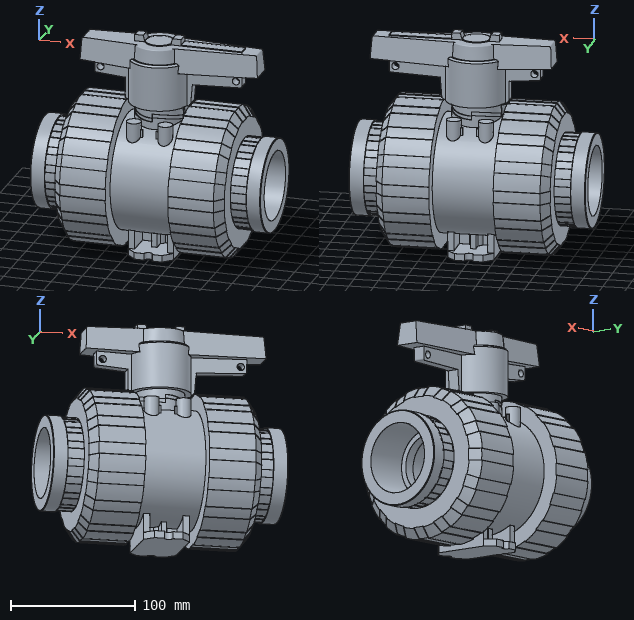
import cadquery as cq


bore_radius = 24.0
socket_radius = 28.5
socket_depth = 37.6
half_length = 97.0

body_radius = 48.9
body_half_length = 50.5

slot_clearance = 2.0

nut_inner_x = 26.4
nut_outer_x = 71.4
nut_wall_x = 64.6
nut_radius = 62.3
nut_chamfer_length = 6.5
nut_face_radius = 54.0
nut_groove_count = 16
nut_groove_width = 9.7
nut_groove_depth = 0.8

collar_inner_x = 85.0
collar_radius = 38.8
collar_edge_chamfer = 0.5
tail_radius = 37.8
tail_groove_count = 16
tail_groove_width = 6.2
tail_groove_depth = 0.8

neck_radius = 20.2
groove_radius = 19.8
cam_gap = 3.1
cam_low_z = 54.0
cam_high_z = 57.6
cam_rise = 5.5
stem_radius = 11.6
stem_bottom_z = 35.0
stem_top_z = 93.1

peg_x = 13.2
peg_y = 27.0
peg_radius = 6.0
peg_top_z = 52.4
peg_root_z = 35.0
nib_width = 2.7
nib_reach = 7.5
nib_top_z = 46.2

foot_bottom_z = -64.5
foot_thickness = 5.8
foot_root_z = -35.0
foot_half_x = 19.0
foot_half_y = 31.2
foot_corner = 7.4
foot_notch_radius = 3.5
leg_width = 5.2
leg_half_y = 23.5
foot_boss_radius = 6.0
foot_rib_width = 4.5
foot_rib_half_y = 14.5

hub_radius = 25.2
hub_bottom_z = 62.3
hub_shoulder_z = 100.9
hub_chamfer = 1.5
crown_base_radius = 22.3
crown_top_radius = 21.0
crown_fillet = 1.2
handle_top_z = 113.0

grip_left_x = -63.6
grip_right_x = 85.5
grip_waist_x = 11.6
grip_end_bottom_z = 94.3
grip_waist_bottom_z = 92.5
grip_left_draft = 1.0
grip_right_draft = 1.4
grip_edge_fillet = 1.5
grip_side_draft = 2.5
grip_left_half_width = 12.0
grip_waist_half_width = 16.0
grip_right_half_width = 10.7

web_thickness = 10.3
web_left_x = -53.4
web_right_x = 70.8
web_end_z = 82.5
web_root_z = 80.5
web_top_z = 97.0
web_hub_left_x = -27.5
web_hub_right_x = 29.1
web_hub_taper = 1.5
web_corner_fillet = 1.5
web_hole_z = 87.7
web_hole_radius = 3.0
web_hole_inset = 5.0

insert_radius = 11.6
insert_raise = 0.8
insert_depth = 2.3
strip_width = web_thickness
prong_top_z = 118.3
prong_outer_x = 19.5
prong_top_inner_x = 12.5
prong_base_inner_x = 10.9
left_prong_width = 9.7


def cylinder_x(radius, x_start, x_end):
    """Cylinder along the flow axis."""
    return cq.Workplane("YZ", origin=(x_start, 0, 0)).circle(radius).extrude(x_end - x_start)


def cylinder_z(radius, z_start, z_end):
    """Cylinder along the stem axis."""
    return cq.Workplane("XY").workplane(offset=z_start).circle(radius).extrude(z_end - z_start)


def block(x_range, y_range, z_range):
    """Box given by its limits along each axis."""
    ranges = (x_range, y_range, z_range)
    sizes = [max(limits) - min(limits) for limits in ranges]
    return cq.Workplane("XY").box(*sizes, centered=False).translate([min(limits) for limits in ranges])


def plate_xz(outline, thickness):
    """Plate centred on the XZ plane with a polygonal outline."""
    return cq.Workplane("XZ").polyline(outline).close().extrude(thickness / 2, both=True)


def radial_slots(count, first_angle, width, x_range, outer_radius):
    """Ring of straight-sided slots running along the flow axis."""
    slot = block(x_range, (0, outer_radius), (-width / 2, width / 2))
    slots = cq.Workplane("XY")
    for index in range(count):
        angle = first_angle + index * 360 / count
        slots = slots.add(slot.rotate((0, 0, 0), (1, 0, 0), angle))
    return slots.combine()


def cam_quadrant(x_side, y_side, z_at_y_axis, z_at_x_axis):
    """Solid in one quadrant below a sloping face, level along X."""
    outline = [
        (0, 0),
        (0, z_at_x_axis),
        (y_side * neck_radius, z_at_y_axis),
        (y_side * neck_radius, 0),
    ]
    return cq.Workplane("YZ").polyline(outline).close().extrude(x_side * neck_radius)


def below_cam(radius, drop):
    """Neck cylinder topped by four ramps, the same again after half a turn."""
    low = cam_low_z - drop
    high = cam_high_z - drop
    neck = cq.Workplane("XY")
    for side in (1, -1):
        neck = neck.add(cam_quadrant(-side, -side, low, low + cam_rise))
        neck = neck.add(cam_quadrant(side, -side, high, high - cam_rise))
    return neck.combine().intersect(cylinder_z(radius, 0, hub_bottom_z))


def make_pegs():
    """Four pegs beside the neck, each with two small side nibs."""
    pegs = cq.Workplane("XY")
    for x_side in (1, -1):
        for y_side in (1, -1):
            peg = cylinder_z(peg_radius, peg_root_z, peg_top_z)
            peg = peg.translate((x_side * peg_x, y_side * peg_y, 0))
            inward_nib = block(
                (x_side * (peg_x - nib_reach), x_side * peg_x),
                (y_side * peg_y, y_side * (peg_y + nib_width / 2)),
                (peg_root_z, nib_top_z),
            )
            neck_nib = block(
                (x_side * peg_x, x_side * (peg_x + nib_width)),
                (y_side * (peg_y - nib_reach), y_side * peg_y),
                (peg_root_z, nib_top_z),
            )
            pegs = pegs.add(peg).add(inward_nib).add(neck_nib)
    return pegs.combine()


def make_foot():
    """Octagonal foot plate with end notches, legs, web, boss and rib up to the body."""
    plate_top_z = foot_bottom_z + foot_thickness
    plate = block(
        (-foot_half_x, foot_half_x), (-foot_half_y, foot_half_y), (foot_bottom_z, plate_top_z)
    )
    plate = plate.edges("|Z").chamfer(foot_corner)
    for side in (1, -1):
        notch = cylinder_z(foot_notch_radius, foot_bottom_z, plate_top_z)
        plate = plate.cut(notch.translate((0, side * foot_half_y, 0)))

    rise = (plate_top_z, foot_root_z)
    half_rib = foot_rib_width / 2
    foot = plate.union(cylinder_z(foot_boss_radius, *rise))
    foot = foot.union(block((-foot_half_x, foot_half_x), (-half_rib, half_rib), rise))
    foot = foot.union(block((-half_rib, half_rib), (-foot_rib_half_y, foot_rib_half_y), rise))
    for side in (1, -1):
        leg_x = (side * (foot_half_x - leg_width), side * foot_half_x)
        foot = foot.union(block(leg_x, (-leg_half_y, leg_half_y), rise))
    return foot


def make_body():
    """Valve body with neck, pegs, foot, flow bore and stem hole."""
    body = cylinder_x(body_radius, -body_half_length, body_half_length)
    body = body.union(below_cam(neck_radius, cam_gap))
    body = body.union(below_cam(groove_radius, 0))
    body = body.union(make_pegs()).union(make_foot())
    body = body.cut(cylinder_x(bore_radius, -body_half_length, body_half_length))
    return body.cut(cylinder_z(stem_radius, stem_bottom_z, hub_bottom_z))


def make_stem():
    """Stem with a cam-edged collar between the neck and the handle."""
    collar = cylinder_z(neck_radius, 0, hub_bottom_z).cut(below_cam(neck_radius, 0))
    return collar.union(cylinder_z(stem_radius, stem_bottom_z, stem_top_z))


def nut_blank(inset):
    """Chamfered outer shape of the nut, shrunk by an inset."""
    outline = [
        (nut_inner_x, 0),
        (nut_inner_x, nut_radius - inset),
        (nut_outer_x - nut_chamfer_length, nut_radius - inset),
        (nut_outer_x, nut_face_radius - inset),
        (nut_outer_x, 0),
    ]
    return cq.Workplane("XY").polyline(outline).close().revolve(360, (0, 0, 0), (1, 0, 0))


def make_nut(side):
    """Grooved union nut on the given side of the body."""
    slots = radial_slots(
        nut_groove_count, 0, nut_groove_width, (nut_inner_x, nut_outer_x), nut_radius + slot_clearance
    )
    nut = nut_blank(0).cut(slots).union(nut_blank(nut_groove_depth))
    nut = nut.cut(cylinder_x(body_radius, nut_inner_x, nut_wall_x))
    nut = nut.cut(cylinder_x(tail_radius, nut_wall_x, nut_outer_x))
    return nut if side > 0 else nut.rotate((0, 0, 0), (0, 0, 1), 180)


def make_connector(side):
    """Flanged end connector with a fluted tail, an end collar and a socket."""
    collar = cylinder_x(collar_radius, collar_inner_x, half_length)
    collar = collar.faces(">X").edges().chamfer(collar_edge_chamfer)

    flutes_x = (nut_outer_x, collar_inner_x)
    slots = radial_slots(
        tail_groove_count,
        180 / tail_groove_count,
        tail_groove_width,
        flutes_x,
        tail_radius + slot_clearance,
    )
    tail = cylinder_x(tail_radius, body_half_length, collar_inner_x).cut(slots)
    tail = tail.union(cylinder_x(tail_radius - tail_groove_depth, *flutes_x))

    connector = cylinder_x(body_radius, body_half_length, nut_wall_x).union(tail).union(collar)
    connector = connector.cut(cylinder_x(bore_radius, body_half_length, half_length))
    connector = connector.cut(cylinder_x(socket_radius, half_length - socket_depth, half_length))
    return connector if side > 0 else connector.rotate((0, 0, 0), (0, 0, 1), 180)


def grip_outline(inset):
    """Plan outline of the grip, widest at the hub."""
    right = grip_right_half_width - inset
    waist = grip_waist_half_width - inset
    left = grip_left_half_width - inset
    return [
        (grip_right_x, -right),
        (grip_right_x, right),
        (grip_waist_x, waist),
        (-grip_waist_x, waist),
        (grip_left_x, left),
        (grip_left_x, -left),
        (-grip_waist_x, -waist),
        (grip_waist_x, -waist),
    ]


def make_grip():
    """Two-armed grip with sloping sides, drafted ends and a raked underside."""
    sides = (
        cq.Workplane("XY", origin=(0, 0, grip_waist_bottom_z))
        .polyline(grip_outline(0)).close()
        .workplane(offset=handle_top_z - grip_waist_bottom_z)
        .polyline(grip_outline(grip_side_draft)).close()
        .loft(ruled=True)
    )
    profile = [
        (grip_left_x, grip_end_bottom_z),
        (-grip_waist_x, grip_waist_bottom_z),
        (grip_waist_x, grip_waist_bottom_z),
        (grip_right_x, grip_end_bottom_z),
        (grip_right_x - grip_right_draft, handle_top_z),
        (grip_left_x + grip_left_draft, handle_top_z),
    ]
    envelope = plate_xz(profile, 2 * hub_radius)
    envelope = envelope.faces(">Z").edges("|Y").fillet(grip_edge_fillet)
    return sides.intersect(envelope)


def make_hub():
    """Round hub with a tapered crown."""
    barrel = cylinder_z(hub_radius, hub_bottom_z, hub_shoulder_z)
    barrel = barrel.faces(">Z").edges().chamfer(hub_chamfer)
    crown = (
        cq.Workplane("XY", origin=(0, 0, hub_shoulder_z))
        .circle(crown_base_radius)
        .workplane(offset=handle_top_z - hub_shoulder_z)
        .circle(crown_top_radius)
        .loft()
        .faces(">Z").edges().fillet(crown_fillet)
    )
    return barrel.union(crown)


def make_web():
    """Upright web under the grip with a hole near each end."""
    arm = plate_xz(
        [
            (web_left_x, grip_end_bottom_z),
            (web_left_x, web_end_z),
            (web_hub_left_x, web_root_z),
            (web_hub_right_x, web_root_z),
            (web_right_x, web_end_z),
            (web_right_x, grip_end_bottom_z),
        ],
        web_thickness,
    )
    arm = arm.edges("|Y and (<X or >X)").edges("<Z").fillet(web_corner_fillet)
    root = plate_xz(
        [
            (web_hub_left_x, web_top_z),
            (web_hub_left_x, hub_bottom_z),
            (web_hub_right_x - web_hub_taper, hub_bottom_z),
            (web_hub_right_x, web_root_z),
            (web_hub_right_x, web_top_z),
        ],
        web_thickness,
    )
    root = root.faces("<Z").edges("|Y").chamfer(web_corner_fillet)
    hole_places = [(web_left_x + web_hole_inset, web_hole_z), (web_right_x - web_hole_inset, web_hole_z)]
    holes = (
        cq.Workplane("XZ").pushPoints(hole_places).circle(web_hole_radius)
        .extrude(web_thickness, both=True)
    )
    return arm.union(root).cut(holes)


def make_handle():
    """Handle with a blind stem socket below and a recess for the insert on top."""
    handle = make_hub().union(make_grip()).union(make_web())
    handle = handle.cut(cylinder_z(stem_radius, hub_bottom_z, stem_top_z))
    return handle.cut(insert_plate(handle_top_z))


def insert_plate(top_z):
    """Round plate with a long strip toward +X, from the recess floor up to top_z."""
    floor_z = handle_top_z - insert_depth
    strip = block((0, web_right_x), (-strip_width / 2, strip_width / 2), (floor_z, top_z))
    return cylinder_z(insert_radius, floor_z, top_z).union(strip)


def make_prong(side, width):
    """Upright prong whose inner face slopes outward."""
    outline = [
        (side * prong_base_inner_x, handle_top_z),
        (side * prong_top_inner_x, prong_top_z),
        (side * prong_outer_x, prong_top_z),
        (side * prong_outer_x, handle_top_z),
    ]
    return plate_xz(outline, width)


def make_insert():
    """Indicator insert with its two prongs."""
    insert = insert_plate(handle_top_z + insert_raise)
    return insert.union(make_prong(1, strip_width)).union(make_prong(-1, left_prong_width))


body = make_body()
stem = make_stem()
nuts = [make_nut(side) for side in (1, -1)]
connectors = [make_connector(side) for side in (1, -1)]
handle = make_handle()
insert = make_insert()

result = cq.Compound.makeCompound(
    [
        body.val(),
        stem.val(),
        *[nut.val() for nut in nuts],
        *[connector.val() for connector in connectors],
        handle.val(),
        insert.val(),
    ]
)